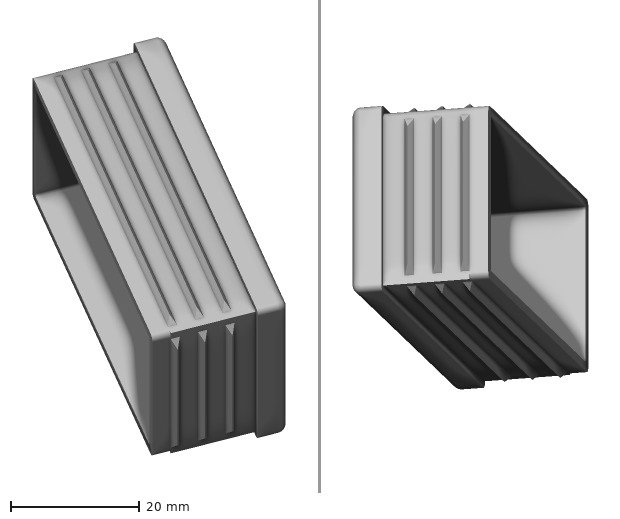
import cadquery as cq

cap_length = 60.0
cap_height = 30.0
cap_thickness = 5.0
cap_corner_radius = 1.0
cap_edge_radius = 1.5

shoulder = 1.0
plug_length = cap_length - 2 * shoulder
plug_height = cap_height - 2 * shoulder
plug_depth = 17.0
plug_corner_radius = 1.0
wall = 1.5

cavity_length = plug_length - 2 * wall
cavity_height = plug_height - 2 * wall
cavity_depth = 19.0
cavity_corner_radius = 0.5

rib_protrusion = 1.175
rib_width = 1.5
rib_end_run = 1.5
rib_end_inset = 1.35
rib_pitch = 4.5
rib_count = 3
first_rib_y = 3.75

short_round_depth = first_rib_y - rib_width / 2


def block(length, height, y_start, depth):
    """Box centred on the Y axis, starting at y_start."""
    box = cq.Workplane("XY").box(length, depth, height)
    return box.translate((0, y_start + depth / 2, 0))


def make_cap():
    """Cover with rounded corners and a larger rounding around its outer face."""
    cap = block(cap_length, cap_height, plug_depth, cap_thickness)
    cap = cap.faces(">Y").edges().fillet(cap_edge_radius)
    return cap.edges("|Y").fillet(cap_corner_radius)


def make_plug():
    tip = block(plug_length, plug_height, 0, short_round_depth)
    tip = tip.edges("|Y").fillet(plug_corner_radius)
    body = block(plug_length, plug_height, short_round_depth, plug_depth - short_round_depth)
    body = body.edges("|Y and <X and >Z").fillet(plug_corner_radius)
    return tip.union(body)


def make_cavity():
    cavity = block(cavity_length, cavity_height, 0, cavity_depth)
    return cavity.edges("|Y").fillet(cavity_corner_radius)


def make_rib(length):
    """Rib along X standing on the XY plane, pointing up, centred on the origin."""
    half_length = length / 2
    half_ridge = half_length - rib_end_run
    half_width = rib_width / 2
    rib = (
        cq.Workplane("YZ")
        .workplane(offset=-half_length)
        .polyline([(-half_width, 0), (half_width, 0), (0, rib_protrusion)])
        .close()
        .extrude(length)
    )
    envelope = (
        cq.Workplane("XZ")
        .polyline([
            (-half_length, 0),
            (half_length, 0),
            (half_ridge, rib_protrusion),
            (-half_ridge, rib_protrusion),
        ])
        .close()
        .extrude(half_width, both=True)
    )
    return rib.intersect(envelope)


def add_ribs(part):
    sides = [
        (plug_length, plug_height / 2, 0),
        (plug_height, plug_length / 2, 90),
        (plug_length, plug_height / 2, 180),
        (plug_height, plug_length / 2, 270),
    ]
    for side_length, face_distance, angle in sides:
        rib = make_rib(side_length - 2 * rib_end_inset).translate((0, 0, face_distance))
        rib = rib.rotate((0, 0, 0), (0, 1, 0), angle)
        for index in range(rib_count):
            part = part.union(rib.translate((0, first_rib_y + index * rib_pitch, 0)))
    return part


result = add_ribs(make_cap().union(make_plug())).cut(make_cavity())